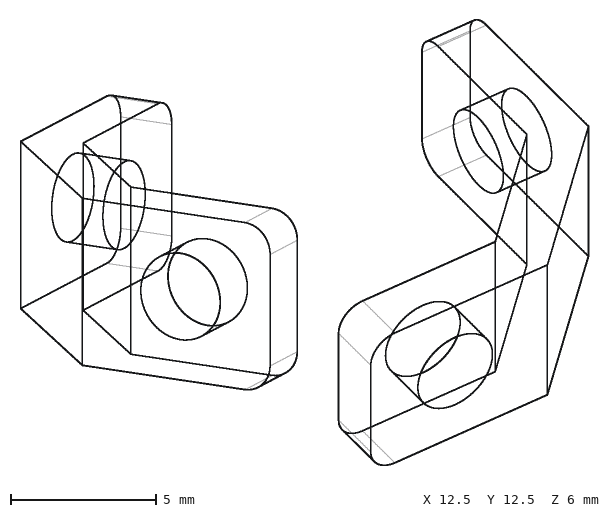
import cadquery as cq
import math

leg_reach = 12.5
height = 6.0
thickness = 2.0
inner_bend = 6.0
corner_radius = 1.0
hole_diameter = 3.1
hole_position = 9.0

outer_bend = inner_bend + thickness - thickness * math.sqrt(2)


def bracket_body():
    """Constant-thickness strip: a leg along X, a 45 degree web and a leg along Y."""
    outline = [
        (outer_bend, 0),
        (leg_reach, 0),
        (leg_reach, thickness),
        (inner_bend, thickness),
        (thickness, inner_bend),
        (thickness, leg_reach),
        (0, leg_reach),
        (0, outer_bend),
    ]
    return cq.Workplane("XY").polyline(outline).close().extrude(height)


def leg_hole():
    """Cylinder through the thickness of the leg along X."""
    return (
        cq.Workplane("XZ")
        .center(hole_position, height / 2)
        .circle(hole_diameter / 2)
        .extrude(-thickness)
    )


def swap_legs(shape):
    """Move a shape from the leg along X to the matching place on the leg along Y."""
    return shape.mirror("YZ").rotate((0, 0, 0), (0, 0, 1), -90)


body = bracket_body()
body = body.faces(">X").edges("|Y").fillet(corner_radius)
body = body.faces(">Y").edges("|X").fillet(corner_radius)

result = body.cut(leg_hole()).cut(swap_legs(leg_hole()))